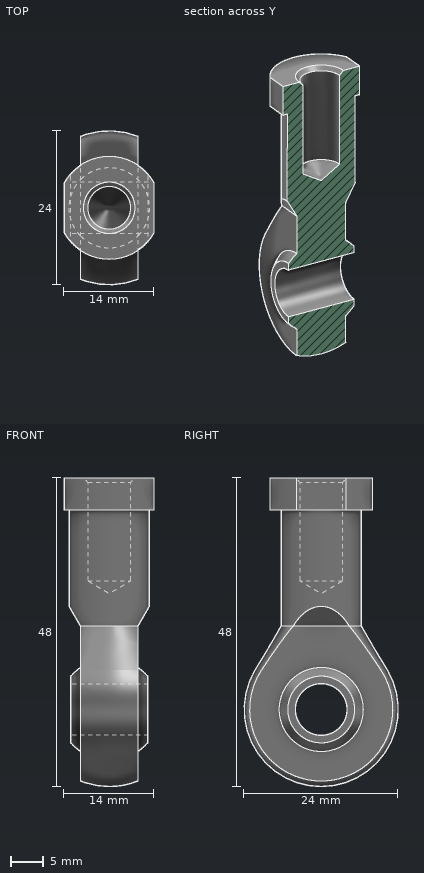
import cadquery as cq
import math


eye_radius = 12.0
eye_width = 9.0

ball_diameter = 15.875
ball_width = 12.0
ball_bore_diameter = 8.0

shank_radius = 12.5 / 2
shank_bottom_z = 13.0
shoulder_angle = 60.0
top_z = 36.0
collar_radius = 16.0 / 2
collar_height = 5.0
across_flats = 14.0

thread_core_diameter = 6.65
thread_mouth_diameter = 8.0
thread_hole_depth = 16.0
drill_point_angle = 118.0


def on_eye(angle):
    """Point (r, z) of the eye's spherical outline at an angle above the horizontal."""
    return eye_radius * math.cos(angle), eye_radius * math.sin(angle)


def turned_body():
    """Sphere, tangent cone, shank and collar as one revolution about Z."""
    shank_corner_distance = math.hypot(shank_radius, shank_bottom_z)
    shank_corner_angle = math.atan2(shank_bottom_z, shank_radius)
    tangent_angle = shank_corner_angle - math.acos(eye_radius / shank_corner_distance)
    arc_middle_angle = (tangent_angle - math.pi / 2) / 2
    collar_bottom_z = top_z - collar_height
    return (
        cq.Workplane("XZ")
        .moveTo(0, -eye_radius)
        .threePointArc(on_eye(arc_middle_angle), on_eye(tangent_angle))
        .lineTo(shank_radius, shank_bottom_z)
        .lineTo(shank_radius, collar_bottom_z)
        .lineTo(collar_radius, collar_bottom_z)
        .lineTo(collar_radius, top_z)
        .lineTo(0, top_z)
        .close()
        .revolve(360, (0, 0, 0), (0, 1, 0))
    )


def side_envelope():
    """Prism along Y that trims the eye faces, the sloping shoulders and the wrench flats."""
    half_eye = eye_width / 2
    half_flats = across_flats / 2
    shoulder_rise = (half_flats - half_eye) * math.tan(math.radians(shoulder_angle))
    shoulder_top_z = shank_bottom_z + shoulder_rise
    return (
        cq.Workplane("XZ")
        .moveTo(-half_eye, -eye_radius)
        .lineTo(half_eye, -eye_radius)
        .lineTo(half_eye, shank_bottom_z)
        .lineTo(half_flats, shoulder_top_z)
        .lineTo(half_flats, top_z)
        .lineTo(-half_flats, top_z)
        .lineTo(-half_flats, shoulder_top_z)
        .lineTo(-half_eye, shank_bottom_z)
        .close()
        .extrude(eye_radius, both=True)
    )


def bearing_ball():
    """Sphere cut flat on both sides to the ball width, revolved about X."""
    ball_radius = ball_diameter / 2
    half_width = ball_width / 2
    flat_radius = math.sqrt(ball_radius**2 - half_width**2)
    return (
        cq.Workplane("XY")
        .moveTo(-half_width, 0)
        .lineTo(-half_width, flat_radius)
        .threePointArc((0, ball_radius), (half_width, flat_radius))
        .lineTo(half_width, 0)
        .close()
        .revolve(360, (0, 0, 0), (1, 0, 0))
    )


def ball_bore():
    """Cylinder along X through the ball."""
    return cq.Workplane("YZ").circle(ball_bore_diameter / 2).extrude(ball_width / 2, both=True)


def thread_hole():
    """Blind hole with a 45 degree countersunk mouth and a conical drill point."""
    core_radius = thread_core_diameter / 2
    mouth_radius = thread_mouth_diameter / 2
    countersink_depth = mouth_radius - core_radius
    hole_bottom_z = top_z - thread_hole_depth
    point_depth = core_radius / math.tan(math.radians(drill_point_angle / 2))
    return (
        cq.Workplane("XZ")
        .moveTo(0, top_z)
        .lineTo(mouth_radius, top_z)
        .lineTo(core_radius, top_z - countersink_depth)
        .lineTo(core_radius, hole_bottom_z)
        .lineTo(0, hole_bottom_z - point_depth)
        .close()
        .revolve(360, (0, 0, 0), (0, 1, 0))
    )


housing = turned_body().intersect(side_envelope())
result = housing.union(bearing_ball()).cut(ball_bore()).cut(thread_hole())